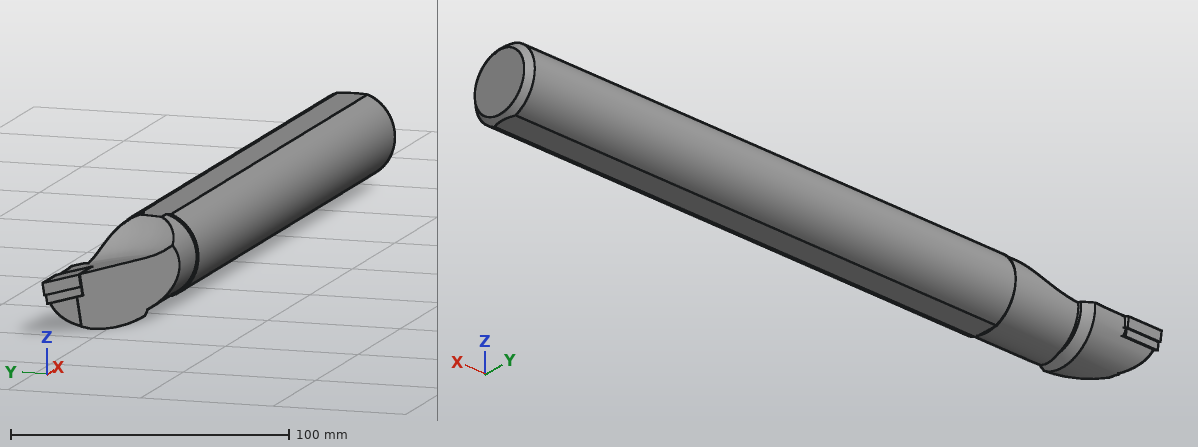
import cadquery as cq
import math

total_length = 300.0
total_width = 38.0
shank_diameter = 32.0
shank_radius = shank_diameter / 2
shank_start = 65.0
flat_height = 15.0
end_chamfer = 2.7

neck_radius = 15.5
neck_y = 0.3
head_radius = 18.0
head_y = 3.0
head_z = -0.5
head_end = 31.2
cone_length = 3.5
cone_end_radius = head_radius - cone_length

rake_angle = 9.0
rake_height = 4.0
cutter_reach = 180.0

dish_x = 15.0
dish_y = 1.5
dish_flat_radius = 21.0
dish_arc_radius = 33.0
dish_height = 16.5

front_x = 13.0
front_y = 11.0
front_angle = 51.6
front_run = math.tan(math.radians(front_angle))
relief_end_x = 10.8
relief_depth = 1.0
seat_relief_x = 9.5
seat_relief_depth = 0.5

insert_length = 16.0
insert_width = 10.2
insert_front_run = 11.0
tip_y = total_width - shank_radius
insert_thickness = 7.8
edge_thickness = 4.5
insert_relief = 0.45
insert_outer_radius = 19.2

slope = math.tan(math.radians(rake_angle))
rake_plane = cq.Plane(
    origin=(0, 0, rake_height),
    xDir=(1, 0, 0),
    normal=(0, slope, 1),
)


def on_rake(x, y):
    """Local rake-plane coordinates of the rake point above (x, y)."""
    along = y / math.cos(math.radians(rake_angle))
    return x, along


def rod(start, end, radius, y=0.0, z=0.0):
    plane = cq.Workplane("YZ", origin=(start, y, z))
    return plane.circle(radius).extrude(end - start)


def make_blank():
    shank = rod(shank_start, total_length, shank_radius).faces(">X").chamfer(end_chamfer)
    neck = rod(0, shank_start, neck_radius, neck_y)
    head = rod(0, head_end, head_radius, head_y, head_z)
    cone = cq.Workplane(
        cq.Solid.makeCone(
            head_radius, cone_end_radius, cone_length,
            cq.Vector(head_end, head_y, head_z), cq.Vector(1, 0, 0),
        )
    )
    return shank.union(neck).union(head).union(cone)


def cut_shank_flats(body):
    top = cq.Workplane("XY").box(
        2 * total_length, cutter_reach, cutter_reach, centered=(True, True, False)
    ).translate((0, 0, flat_height))
    shank_bottom = cq.Workplane("XY").box(
        total_length, cutter_reach, cutter_reach, centered=(False, True, False)
    ).translate((shank_start, 0, -flat_height - cutter_reach))
    return body.cut(top).cut(shank_bottom)


def make_rake_cutter():
    open_cut = (
        cq.Workplane(rake_plane)
        .center(dish_x - cutter_reach / 2, 0)
        .rect(cutter_reach, cutter_reach)
        .extrude(cutter_reach)
    )
    rim_radius = dish_flat_radius + dish_arc_radius
    arc_offset = dish_arc_radius * math.sqrt(0.5)
    center = rake_plane.toWorldCoords(on_rake(dish_x, dish_y))
    dish_plane = cq.Plane(origin=center, xDir=(1, 0, 0), normal=(0, -1, slope))
    dish = (
        cq.Workplane(dish_plane)
        .lineTo(dish_flat_radius, 0)
        .threePointArc(
            (dish_flat_radius + arc_offset, dish_arc_radius - arc_offset),
            (rim_radius, dish_arc_radius),
        )
        .lineTo(rim_radius, dish_arc_radius + dish_height)
        .lineTo(0, dish_arc_radius + dish_height)
        .close()
        .revolve(360, (0, 0, 0), (0, 1, 0))
    )
    return open_cut.union(dish)


def make_front_cutter():
    def front_point(y):
        return on_rake(front_x + front_run * (front_y - y), y)

    far_y = cutter_reach / 2
    relief_y = front_y + (front_x - relief_end_x) / front_run
    seat_y = front_y + (front_x - seat_relief_x) / front_run
    seat_setback = relief_depth + seat_relief_depth
    relief_far = front_point(far_y)
    outline = [
        front_point(-far_y),
        front_point(front_y),
        on_rake(relief_end_x + relief_depth, relief_y),
        on_rake(seat_relief_x + relief_depth, seat_y),
        on_rake(seat_relief_x + seat_setback, seat_y),
        (relief_far[0] + seat_setback, relief_far[1]),
        on_rake(-cutter_reach, far_y),
        on_rake(-cutter_reach, -far_y),
    ]
    return cq.Workplane(rake_plane).polyline(outline).close().extrude(cutter_reach, both=True)


def insert_outline(setback=0.0):
    seat_y = tip_y - insert_width
    return [
        on_rake(setback, tip_y - setback),
        on_rake(insert_length, tip_y - setback),
        on_rake(insert_length + insert_front_run, seat_y),
        on_rake(insert_front_run + setback, seat_y),
    ]


def make_insert():
    upper = cq.Workplane(rake_plane).polyline(insert_outline()).close().extrude(-edge_thickness)
    lower = (
        cq.Workplane(rake_plane)
        .workplane(offset=-edge_thickness)
        .polyline(insert_outline(insert_relief))
        .close()
        .extrude(edge_thickness - insert_thickness)
    )
    flank = rod(0, shank_start, insert_outer_radius, head_y, head_z)
    return upper.union(lower).intersect(flank)


def make_holder(insert):
    body = cut_shank_flats(make_blank())
    body = body.cut(make_rake_cutter()).cut(make_front_cutter())
    return body.cut(insert)


insert = make_insert()
holder = make_holder(insert)

result = cq.Compound.makeCompound([holder.val(), insert.val()])